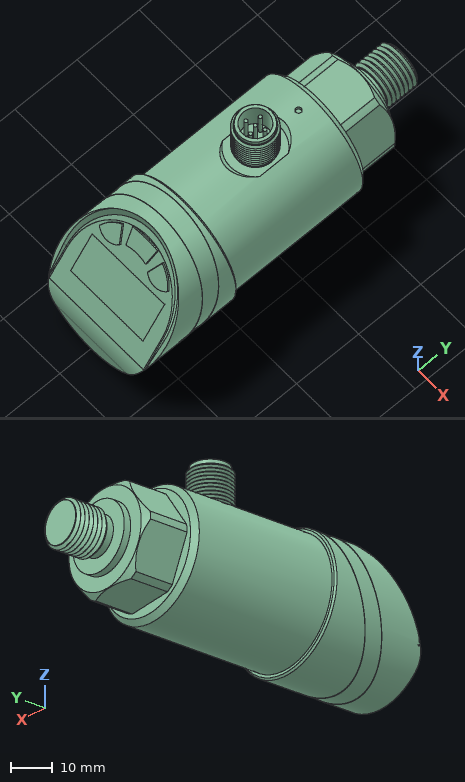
import cadquery as cq
import math


HEAD_LENGTH = 30.0
HOUSING_LENGTH = 43.0
HEX_LENGTH = 13.0
COLLAR_LENGTH = 2.0
NECK_LENGTH = 2.2
TOTAL_LENGTH = 100.0
housing_start = HEAD_LENGTH
hex_start = housing_start + HOUSING_LENGTH
hex_end = hex_start + HEX_LENGTH
collar_end = hex_end + COLLAR_LENGTH
neck_end = collar_end + NECK_LENGTH

HEAD_DIAMETER = 38.0
HEAD_REAR_CHAMFER = 0.5
FACE_TILT = 35.0
FACE_CORNER_Z = -11.0
FACE_CORNER_RADIUS = 9.5
FACE_HALF_WIDTH = 17.1
FACE_TOP = 20.4
RIM_TAPER = 57.0
RIM_TILT = 32.8
RIM_TOP_Y = 19.4
FACE_CUT_DEPTH = 20.0

BAND_DEPTH = 0.1
BAND_WIDTH = 5.2
BAND_TOP_Y = 28.3
BAND_MIDDLE_Y = 22.7
BAND_BOTTOM_Y = 13.3

PANEL_HALF_WIDTH = 16.75
PANEL_TOP = 18.5
PANEL_BOTTOM = -10.4
PANEL_THICKNESS = 0.4
BUTTON_HEIGHT = 0.6
MENU_TOP_HALF_WIDTH = 4.4
MENU_BOTTOM_HALF_WIDTH = 3.5
MENU_TOP = 17.9
MENU_TOP_RISE = 0.2
MENU_BOTTOM = 12.6
MENU_BOTTOM_RISE = 0.5
SIDE_OUTER_CORNER = (12.1, 11.3)
SIDE_UPPER_ARC_POINT = (9.9, 14.3)
SIDE_UPPER_CORNER = (7.1, 16.2)
SIDE_INNER_CORNER = (5.0, 11.3)
SIDE_LOWER_ARC_POINT = (8.6, 9.7)
WINDOW_WIDTH = 25.7
WINDOW_TOP = 7.6
WINDOW_BOTTOM = -4.5

HOUSING_DIAMETER = 35.5
HOUSING_CHAMFER = 1.5
SEAT_Z = 16.5
SEAT_RADIUS = 8.0
LAMP_HOLE_DIAMETER = 1.69
LAMP_HOLE_DEPTH = 1.0
LAMP_HOLE_Y = 66.9

HEX_ACROSS_FLATS = 27.0
HEX_CORNER_DIAMETER = 30.0
HEX_CHAMFER = 1.6
HEX_ROTATION = 5.3
COLLAR_DIAMETER = 19.0
NECK_DIAMETER = 11.0
PORT_THREAD_DIAMETER = 13.16
PORT_THREAD_PITCH = 1.337
PORT_THREAD_DEPTH = 0.85

CONNECTOR_Y = 53.0
CONNECTOR_TOP = 28.7
CONNECTOR_BASE_DIAMETER = 11.0
CONNECTOR_BASE_HEIGHT = 0.8
CONNECTOR_THREAD_DIAMETER = 11.9
CONNECTOR_THREAD_PITCH = 1.0
CONNECTOR_THREAD_DEPTH = 0.6
SLEEVE_DIAMETER = 10.2
SLEEVE_HEIGHT = 1.2
SOCKET_DIAMETER = 8.3
SOCKET_DEPTH = 8.0
PIN_DIAMETER = 1.0
PIN_RECESS = 1.0
PIN_CIRCLE_RADIUS = 2.55
PIN_START_ANGLE = 20.5
PIN_COUNT = 4

head_radius = HEAD_DIAMETER / 2
housing_radius = HOUSING_DIAMETER / 2
tilt = math.radians(FACE_TILT)
face_y = -FACE_CORNER_Z * math.tan(tilt)


def axial_plane(y):
    """Plane across the housing axis at y, facing +Y, with its local y axis along +Z."""
    return cq.Workplane(cq.Plane((0, y, 0), (-1, 0, 0), (0, 1, 0)))


def face_plane():
    """Plane of the tilted face, with its local y axis running up the face."""
    normal = (0, -math.cos(tilt), math.sin(tilt))
    return cq.Workplane(cq.Plane((0, face_y, 0), (1, 0, 0), normal))


def arched_outline(workplane, half_width, top, bottom):
    """Straight-sided outline closed at the top by half an ellipse."""
    return (
        workplane.moveTo(half_width, 0)
        .ellipseArc(half_width, top, 0, 180, startAtCurrent=True)
        .lineTo(-half_width, bottom)
        .lineTo(half_width, bottom)
        .close()
    )


def threaded_rod(diameter, depth, pitch, length):
    """Upright rod from z = 0 with one pointed ring per pitch between plain root ends."""
    outer = diameter / 2
    root = outer - depth
    turns = int(length / pitch)
    margin = (length - turns * pitch) / 2
    outline = cq.Workplane("XZ").moveTo(0, 0).lineTo(root, 0).lineTo(root, margin)
    for turn in range(turns):
        start = margin + turn * pitch
        outline = outline.lineTo(outer, start + pitch / 2).lineTo(root, start + pitch)
    outline = outline.lineTo(root, length).lineTo(0, length).close()
    return outline.revolve(360, (0, 0, 0), (0, 1, 0))


def make_fitting():
    hex_corners = HEX_ACROSS_FLATS / math.cos(math.pi / 6)
    hexagon = axial_plane(hex_start).polygon(6, hex_corners).extrude(HEX_LENGTH)
    hexagon = hexagon.rotate((0, 0, 0), (0, 1, 0), HEX_ROTATION)
    turned = axial_plane(hex_start).circle(HEX_CORNER_DIAMETER / 2).extrude(HEX_LENGTH)
    turned = turned.faces(">Y").chamfer(HEX_CHAMFER)
    collar = axial_plane(hex_end).circle(COLLAR_DIAMETER / 2).extrude(COLLAR_LENGTH)
    neck = axial_plane(collar_end).circle(NECK_DIAMETER / 2).extrude(NECK_LENGTH)
    thread = threaded_rod(
        PORT_THREAD_DIAMETER, PORT_THREAD_DEPTH, PORT_THREAD_PITCH, TOTAL_LENGTH - neck_end
    )
    thread = thread.rotate((0, 0, 0), (1, 0, 0), -90).translate((0, neck_end, 0))
    return hexagon.intersect(turned).union(collar).union(neck).union(thread)


def make_housing():
    body = axial_plane(housing_start).circle(housing_radius).extrude(HOUSING_LENGTH)
    body = body.faces(">Y").chamfer(HOUSING_CHAMFER)
    flare = 2 * (housing_radius - SEAT_Z)
    seat = (
        cq.Workplane("XY", origin=(0, CONNECTOR_Y, SEAT_Z))
        .circle(SEAT_RADIUS)
        .workplane(offset=flare)
        .circle(SEAT_RADIUS + flare)
        .loft()
    )
    lamp_hole = (
        cq.Workplane("XY", origin=(0, LAMP_HOLE_Y, housing_radius))
        .circle(LAMP_HOLE_DIAMETER / 2)
        .extrude(-LAMP_HOLE_DEPTH)
    )
    return body.cut(seat).cut(lamp_hole)


def make_connector():
    sleeve_start = CONNECTOR_TOP - SLEEVE_HEIGHT
    thread_start = SEAT_Z + CONNECTOR_BASE_HEIGHT
    base = cq.Workplane("XY").circle(CONNECTOR_BASE_DIAMETER / 2).extrude(CONNECTOR_BASE_HEIGHT)
    base = base.translate((0, 0, SEAT_Z))
    thread = threaded_rod(
        CONNECTOR_THREAD_DIAMETER,
        CONNECTOR_THREAD_DEPTH,
        CONNECTOR_THREAD_PITCH,
        sleeve_start - thread_start,
    ).translate((0, 0, thread_start))
    sleeve = cq.Workplane("XY", origin=(0, 0, sleeve_start))
    sleeve = sleeve.circle(SLEEVE_DIAMETER / 2).extrude(SLEEVE_HEIGHT)
    socket = cq.Workplane("XY", origin=(0, 0, CONNECTOR_TOP))
    socket = socket.circle(SOCKET_DIAMETER / 2).extrude(-SOCKET_DEPTH)
    contacts = (
        cq.Workplane("XY", origin=(0, 0, CONNECTOR_TOP - SOCKET_DEPTH))
        .polarArray(PIN_CIRCLE_RADIUS, PIN_START_ANGLE, 360, PIN_COUNT)
        .circle(PIN_DIAMETER / 2)
        .moveTo(0, 0)
        .circle(PIN_DIAMETER / 2)
        .extrude(SOCKET_DEPTH - PIN_RECESS)
    )
    shell = base.union(thread).union(sleeve).cut(socket)
    return shell.union(contacts).translate((0, CONNECTOR_Y, 0))


def corner_cut():
    """Material outside the round between the tilted face and the upright front face."""
    reach = FACE_CORNER_RADIUS * math.tan(tilt / 2)
    bisector = tilt / 2
    arc_offset = FACE_CORNER_RADIUS / math.cos(bisector) - FACE_CORNER_RADIUS
    upper = (reach * math.sin(tilt), FACE_CORNER_Z + reach * math.cos(tilt))
    middle = (arc_offset * math.cos(bisector), FACE_CORNER_Z - arc_offset * math.sin(bisector))
    return (
        cq.Workplane("YZ")
        .moveTo(0, FACE_CORNER_Z)
        .lineTo(*upper)
        .threePointArc(middle, (0, FACE_CORNER_Z - reach))
        .close()
        .extrude(head_radius, both=True)
    )


def rim_cut():
    """Material in front of the rim, whose plane is tilted slightly less than the face."""
    bottom_y = RIM_TOP_Y - HEAD_DIAMETER * math.tan(math.radians(RIM_TILT))
    return (
        cq.Workplane("YZ")
        .moveTo(RIM_TOP_Y, head_radius)
        .lineTo(bottom_y, -head_radius)
        .lineTo(bottom_y, head_radius)
        .close()
        .extrude(head_radius, both=True)
    )


def face_cut():
    """Recess of the tilted face, whose wall flares out to the head's outer surface."""
    flare = FACE_CUT_DEPTH * math.tan(math.radians(RIM_TAPER))
    floor = arched_outline(face_plane(), FACE_HALF_WIDTH, FACE_TOP, -HEAD_DIAMETER)
    mouth = arched_outline(
        floor.workplane(offset=FACE_CUT_DEPTH),
        FACE_HALF_WIDTH + flare,
        FACE_TOP + flare,
        -HEAD_DIAMETER - flare,
    )
    return mouth.loft(ruled=True)


def label_band():
    """Shallow ring between two parallel curved surfaces that follow the slant of the face."""
    edge = (
        cq.Workplane("YZ")
        .moveTo(BAND_TOP_Y, head_radius)
        .threePointArc((BAND_MIDDLE_Y, 0), (BAND_BOTTOM_Y, -head_radius))
        .line(-BAND_WIDTH, 0)
        .threePointArc((BAND_MIDDLE_Y - BAND_WIDTH, 0), (BAND_TOP_Y - BAND_WIDTH, head_radius))
        .close()
    )
    ring = axial_plane(0).circle(head_radius).circle(head_radius - BAND_DEPTH)
    ring = ring.extrude(HEAD_LENGTH)
    return edge.extrude(head_radius, both=True).intersect(ring)


def panel_blank():
    outline = arched_outline(face_plane(), PANEL_HALF_WIDTH, PANEL_TOP, PANEL_BOTTOM)
    return outline.extrude(-PANEL_THICKNESS)


def make_window():
    height = WINDOW_TOP - WINDOW_BOTTOM
    middle = (WINDOW_TOP + WINDOW_BOTTOM) / 2
    return face_plane().center(0, middle).rect(WINDOW_WIDTH, height).extrude(-PANEL_THICKNESS)


def make_head():
    body = axial_plane(0).circle(head_radius).extrude(HEAD_LENGTH)
    body = body.faces(">Y").chamfer(HEAD_REAR_CHAMFER)
    body = body.cut(rim_cut()).cut(face_cut()).cut(corner_cut())
    return body.cut(label_band()).cut(panel_blank())


def menu_button():
    """Middle button: a trapezoid with arched top and bottom edges."""
    return (
        face_plane()
        .moveTo(-MENU_TOP_HALF_WIDTH, MENU_TOP)
        .threePointArc((0, MENU_TOP + MENU_TOP_RISE), (MENU_TOP_HALF_WIDTH, MENU_TOP))
        .lineTo(MENU_BOTTOM_HALF_WIDTH, MENU_BOTTOM)
        .threePointArc((0, MENU_BOTTOM + MENU_BOTTOM_RISE), (-MENU_BOTTOM_HALF_WIDTH, MENU_BOTTOM))
        .close()
        .extrude(BUTTON_HEIGHT)
    )


def minus_button():
    """Button on the +X side: two arcs and one straight inner edge."""
    return (
        face_plane()
        .moveTo(*SIDE_OUTER_CORNER)
        .threePointArc(SIDE_UPPER_ARC_POINT, SIDE_UPPER_CORNER)
        .lineTo(*SIDE_INNER_CORNER)
        .threePointArc(SIDE_LOWER_ARC_POINT, SIDE_OUTER_CORNER)
        .close()
        .extrude(BUTTON_HEIGHT)
    )


def make_panel(window):
    minus = minus_button()
    plus = minus.mirror("YZ")
    return panel_blank().cut(window).union(menu_button()).union(minus).union(plus)


fitting = make_fitting()
housing = make_housing()
connector = make_connector()
head = make_head()
window = make_window()
panel = make_panel(window)

result = cq.Compound.makeCompound(
    [fitting.val(), housing.val(), connector.val(), head.val(), panel.val(), window.val()]
)